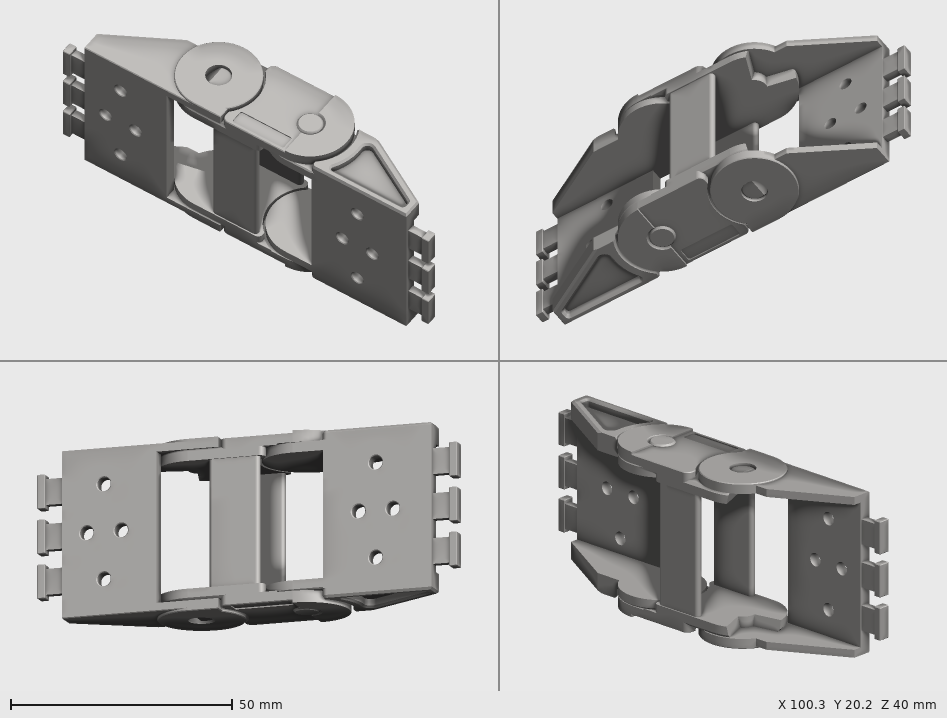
import cadquery as cq
import math

TOTAL_LENGTH = 100.3
DEPTH = 20.2
DISC_RADIUS = DEPTH / 2
PIVOT_Y = DEPTH / 2
LEFT_PIVOT_X = -14.2
RIGHT_PIVOT_X = 10.8

INNER_Z = 14.8
ARM_BEVEL_Z = 17.0
RIGHT_CONTACT_Z = 17.3
LEFT_CONTACT_Z = 17.6
SIDE_Z = 19.5
DISC_TOP_Z = 20.01

PLATE_END_X = 44.1
PLATE_THICKNESS = 3.0
PLATE_TO_PIVOT = 7.3
WALL_END_HEIGHT = 5.0
WALL_HEIGHT = 15.0
WALL_SLOPE_X = 26.3
DISC_CHAMFER = 0.2
EDGE_CHAMFER = 0.2
CHEEK_CHAMFER_Z = 0.6
CHEEK_CHAMFER_XY = 0.4

SCREW_RADIUS = 1.6
SCREW_CHAMFER = 0.2
SCREW_OFFSET = 4.1
SCREW_SPREAD = 11.0
LEFT_SCREWS_X = -34.2
RIGHT_SCREWS_X = 30.7

TAB_PITCH = 10.4
TAB_COUNT = 3
HEAD_LENGTH = 1.9
HEAD_WIDTH = 7.9
HEAD_DEPTH = 2.9
HEAD_CHAMFER = 0.15
NECK_WIDTH = 6.0
NECK_BOTTOM_Y = 0.8
NECK_TOP_Y = 2.7

PIN_RADIUS = 3.06
HOLE_CHAMFER = 0.5
PIN_CHAMFER = 0.4
PIN_RAMP_X = -15.1
PIN_RAMP_ANGLE = 40.0
SOCKET_RADIUS = 10.7
SOCKET_CHAMFER = 0.5

LEFT_HORN_REACH = 7.6
RIGHT_HORN_REACH = 6.9
LEFT_HORN_FILLET = 1.6
RIGHT_HORN_FILLET = 1.2
NOTCH_START_ANGLE = 112.0
NOTCH_END_ANGLE = 192.0
NOTCH_DRAFT = 12.0
BRIDGE_LEFT_X = -9.3
BRIDGE_RIGHT_X = 2.8
BRIDGE_RECESS = 0.3
BRIDGE_THICKNESS = 1.9
BRIDGE_FILLET = 0.93
LABEL_LEFT_X = -4.2
LABEL_RIGHT_X = 9.8
LABEL_BOTTOM_Y = 0.8
LABEL_TOP_Y = 4.4
LABEL_DEPTH = 0.3
LABEL_FILLET = 0.5

POCKET_ARC_RADIUS = 13.4
POCKET_BOTTOM_Y = 1.8
POCKET_END_X = 42.0
POCKET_EDGE_GAP = 2.1
POCKET_DEPTH = 2.0
POCKET_FILLET = 0.6
POCKET_TOP_FILLET = 1.5
POCKET_CHAMFER = 0.5


def box(x0, x1, y0, y1, z0, z1):
    return cq.Workplane("XY").box(x1 - x0, y1 - y0, z1 - z0, centered=False).translate((x0, y0, z0))


def disc(pivot_x, radius, z0, z1):
    return cq.Workplane("XY", origin=(pivot_x, PIVOT_Y, z0)).circle(radius).extrude(z1 - z0)


def prism(points, z0, z1):
    return cq.Workplane("XY", origin=(0, 0, z0)).polyline(points).close().extrude(z1 - z0)


def both_sides(side):
    """The +Z side part together with its mirror image at -Z."""
    return side.union(side.mirror("XY"))


def wall(side, start_x, z0, z1):
    """Side wall with a sloped back edge; side is -1 for the left link and +1 for the right one."""
    points = [
        (start_x, 0),
        (side * PLATE_END_X, 0),
        (side * PLATE_END_X, WALL_END_HEIGHT),
        (side * WALL_SLOPE_X, WALL_HEIGHT),
        (start_x, WALL_HEIGHT),
    ]
    return prism(points, z0, z1)


def plate(edge_x, end_x, half_width):
    return box(min(edge_x, end_x), max(edge_x, end_x), 0, PLATE_THICKNESS, -half_width, half_width)


def screw_holes(center_x):
    places = [
        (center_x - SCREW_OFFSET, 0),
        (center_x + SCREW_OFFSET, 0),
        (center_x, SCREW_SPREAD),
        (center_x, -SCREW_SPREAD),
    ]
    holes = cq.Workplane("XZ").pushPoints(places).circle(SCREW_RADIUS).extrude(-PLATE_THICKNESS)
    mouths = cq.Workplane("XZ").pushPoints(places).circle(SCREW_RADIUS + SCREW_CHAMFER)
    return holes.union(mouths.extrude(-SCREW_CHAMFER, taper=45))


def end_tabs(side):
    """Row of T-shaped tabs at the outer end of a link."""
    outer_x = TOTAL_LENGTH / 2
    head_x = outer_x - HEAD_LENGTH
    head = box(head_x, outer_x, 0, HEAD_DEPTH, -HEAD_WIDTH / 2, HEAD_WIDTH / 2).edges().chamfer(HEAD_CHAMFER)
    neck = box(PLATE_END_X, head_x, NECK_BOTTOM_Y, NECK_TOP_Y, -NECK_WIDTH / 2, NECK_WIDTH / 2)
    tab = head.union(neck)
    if side < 0:
        tab = tab.mirror("YZ")
    tabs = cq.Workplane("XY")
    for i in range(TAB_COUNT):
        tabs = tabs.add(tab.translate((0, 0, (i - (TAB_COUNT - 1) / 2) * TAB_PITCH)))
    return tabs.combine()


def make_left_link():
    plate_edge_x = LEFT_PIVOT_X - PLATE_TO_PIVOT
    toe_x = LEFT_PIVOT_X + PLATE_TO_PIVOT
    side_wall = wall(-1, LEFT_PIVOT_X, LEFT_CONTACT_Z, SIDE_Z)
    side_wall = side_wall.faces(">Z").edges("<Y").chamfer(EDGE_CHAMFER)
    knuckle = disc(LEFT_PIVOT_X, DISC_RADIUS, LEFT_CONTACT_Z, DISC_TOP_Z)
    knuckle = knuckle.union(box(LEFT_PIVOT_X, toe_x, 0, PLATE_THICKNESS, LEFT_CONTACT_Z, DISC_TOP_Z))
    knuckle = knuckle.faces(">Z").edges().chamfer(DISC_CHAMFER)
    arm = side_wall.union(knuckle).cut(disc(LEFT_PIVOT_X, PIN_RADIUS, LEFT_CONTACT_Z, DISC_TOP_Z))
    base = plate(plate_edge_x, -PLATE_END_X, SIDE_Z - EDGE_CHAMFER)
    link = both_sides(arm).union(base)
    return link.cut(screw_holes(LEFT_SCREWS_X)).union(end_tabs(-1))


def side_pocket():
    """Recess following the socket, the front face and the sloped edge of the wall."""
    slope = (WALL_HEIGHT - WALL_END_HEIGHT) / (PLATE_END_X - WALL_SLOPE_X)
    drop = POCKET_EDGE_GAP * math.hypot(1, slope)

    def edge_y(x):
        return WALL_HEIGHT - drop - slope * (x - WALL_SLOPE_X)

    def arc_point(angle):
        return (
            RIGHT_PIVOT_X + POCKET_ARC_RADIUS * math.cos(angle),
            PIVOT_Y + POCKET_ARC_RADIUS * math.sin(angle),
        )

    pivot_to_edge = (edge_y(RIGHT_PIVOT_X) - PIVOT_Y) / math.hypot(1, slope)
    top_angle = math.atan2(1, slope) - math.acos(pivot_to_edge / POCKET_ARC_RADIUS)
    bottom_angle = math.asin((POCKET_BOTTOM_Y - PIVOT_Y) / POCKET_ARC_RADIUS)
    pocket = (
        cq.Workplane("XY", origin=(0, 0, SIDE_Z - POCKET_DEPTH))
        .moveTo(*arc_point(bottom_angle))
        .lineTo(POCKET_END_X, POCKET_BOTTOM_Y)
        .lineTo(POCKET_END_X, edge_y(POCKET_END_X))
        .lineTo(*arc_point(top_angle))
        .threePointArc(arc_point((top_angle + bottom_angle) / 2), arc_point(bottom_angle))
        .close()
        .extrude(POCKET_DEPTH)
    )
    pocket = pocket.edges("|Z and >Y").fillet(POCKET_TOP_FILLET)
    pocket = pocket.edges("|Z and (<Y or >X)").fillet(POCKET_FILLET)
    rim = pocket.faces(">Z").wires().toPending().workplane().offset2D(POCKET_CHAMFER)
    return pocket.union(rim.extrude(-POCKET_CHAMFER, taper=45))


def cheek():
    """Outer layer of the right link's side: rounded tip, socket, bevelled rim and pocket."""
    body = wall(1, RIGHT_PIVOT_X + RIGHT_HORN_REACH, ARM_BEVEL_Z, SIDE_Z)
    body = body.edges("|Z and <X and <Y").fillet(RIGHT_HORN_FILLET)
    top = body.faces(">Z")
    rim = top.edges("<Y").add(top.edges(">X")).add(top.edges("not(|X or |Y or %CIRCLE)"))
    body = rim.chamfer(CHEEK_CHAMFER_Z, CHEEK_CHAMFER_XY)
    socket = disc(RIGHT_PIVOT_X, SOCKET_RADIUS, ARM_BEVEL_Z, SIDE_Z)
    mouth = cq.Workplane("XY", origin=(RIGHT_PIVOT_X, PIVOT_Y, SIDE_Z))
    mouth = mouth.circle(SOCKET_RADIUS + SOCKET_CHAMFER).extrude(-SOCKET_CHAMFER, taper=45)
    return body.cut(socket).cut(mouth).cut(side_pocket())


def make_right_link():
    plate_edge_x = RIGHT_PIVOT_X + PLATE_TO_PIVOT
    arm = wall(1, RIGHT_PIVOT_X, INNER_Z, RIGHT_CONTACT_Z)
    arm = arm.union(disc(RIGHT_PIVOT_X, DISC_RADIUS, INNER_Z, RIGHT_CONTACT_Z))
    arm = arm.faces(">Z").chamfer(RIGHT_CONTACT_Z - ARM_BEVEL_Z)
    pin = disc(RIGHT_PIVOT_X, PIN_RADIUS, INNER_Z, DISC_TOP_Z).faces(">Z").chamfer(PIN_CHAMFER)
    side = arm.union(cheek()).union(pin)
    link = both_sides(side).union(plate(plate_edge_x, PLATE_END_X, RIGHT_CONTACT_Z))
    return link.cut(screw_holes(RIGHT_SCREWS_X)).union(end_tabs(1))


def notch():
    """Sector missing from the left inner disc, widening towards the inner face."""
    reach = 2 * DISC_RADIUS

    def ray(angle):
        turn = math.radians(angle)
        return (LEFT_PIVOT_X + reach * math.cos(turn), PIVOT_Y + reach * math.sin(turn))

    middle_angle = (NOTCH_START_ANGLE + NOTCH_END_ANGLE) / 2
    points = [(LEFT_PIVOT_X, PIVOT_Y), ray(NOTCH_START_ANGLE), ray(middle_angle), ray(NOTCH_END_ANGLE)]
    sector = cq.Workplane("XY", origin=(0, 0, INNER_Z)).polyline(points).close()
    return sector.extrude(LEFT_CONTACT_Z - INNER_Z, taper=NOTCH_DRAFT)


def ramped_pin():
    """Left pin, from the inner arm to the side face, with a lead-in ramp on its -X side."""
    pin = disc(LEFT_PIVOT_X, PIN_RADIUS, INNER_Z, SIDE_Z).faces(">Z").chamfer(PIN_CHAMFER)
    run = LEFT_PIVOT_X - PIN_RADIUS - PIN_RAMP_X
    fall = run * math.tan(math.radians(PIN_RAMP_ANGLE))
    ramp = (
        cq.Workplane("XZ")
        .polyline([(PIN_RAMP_X, SIDE_Z), (PIN_RAMP_X + run, SIDE_Z), (PIN_RAMP_X + run, SIDE_Z + fall)])
        .close()
        .extrude(-DEPTH)
    )
    return pin.cut(ramp)


def bridge(y0):
    """Crossbar with rounded long edges."""
    bar = box(BRIDGE_LEFT_X, BRIDGE_RIGHT_X, y0, y0 + BRIDGE_THICKNESS, -INNER_Z, INNER_Z)
    return bar.edges("|Z").fillet(BRIDGE_FILLET)


def inner_layer():
    """Disc at the left pivot and horns around the right link's disc."""
    layer = box(LEFT_PIVOT_X, RIGHT_PIVOT_X - RIGHT_HORN_REACH, 0, DEPTH, INNER_Z, LEFT_CONTACT_Z)
    layer = layer.edges("|Z and >X").fillet(RIGHT_HORN_FILLET)
    layer = layer.union(disc(LEFT_PIVOT_X, DISC_RADIUS, INNER_Z, LEFT_CONTACT_Z))
    layer = layer.faces(">Z").chamfer(LEFT_CONTACT_Z - ARM_BEVEL_Z)
    return layer.cut(notch())


def outer_layer():
    """Horns around the left link's disc and a disc, raised on its outer half, at the right pivot."""
    horn_x = LEFT_PIVOT_X + LEFT_HORN_REACH
    layer = box(horn_x, RIGHT_PIVOT_X, 0, DEPTH, ARM_BEVEL_Z, SIDE_Z)
    layer = layer.edges("|Z and <X").fillet(LEFT_HORN_FILLET)
    layer = layer.faces(">Z").edges("|X").chamfer(EDGE_CHAMFER)
    layer = layer.cut(disc(LEFT_PIVOT_X, SOCKET_RADIUS, ARM_BEVEL_Z, SIDE_Z))

    disc_end_x = RIGHT_PIVOT_X + DISC_RADIUS
    outer_half = box(RIGHT_PIVOT_X, disc_end_x, 0, DEPTH, RIGHT_CONTACT_Z, DISC_TOP_Z)
    layer = layer.union(disc(RIGHT_PIVOT_X, DISC_RADIUS, RIGHT_CONTACT_Z, DISC_TOP_Z).intersect(outer_half))

    label = box(LABEL_LEFT_X, LABEL_RIGHT_X, LABEL_BOTTOM_Y, LABEL_TOP_Y, SIDE_Z - LABEL_DEPTH, SIDE_Z)
    layer = layer.cut(label.edges("|Z").fillet(LABEL_FILLET))

    hole = disc(RIGHT_PIVOT_X, PIN_RADIUS, RIGHT_CONTACT_Z, DISC_TOP_Z)
    mouth = cq.Workplane("XY", origin=(RIGHT_PIVOT_X, PIVOT_Y, DISC_TOP_Z))
    mouth = mouth.circle(PIN_RADIUS + HOLE_CHAMFER).extrude(-HOLE_CHAMFER, taper=45)
    return layer.cut(hole).cut(mouth)


def make_middle_link():
    right_socket = disc(RIGHT_PIVOT_X, SOCKET_RADIUS, INNER_Z, RIGHT_CONTACT_Z)
    side = inner_layer().union(outer_layer()).cut(right_socket).union(ramped_pin())
    front_bridge = bridge(BRIDGE_RECESS)
    back_bridge = bridge(DEPTH - BRIDGE_RECESS - BRIDGE_THICKNESS)
    return both_sides(side).union(front_bridge).union(back_bridge)


left_link = make_left_link()
middle_link = make_middle_link()
right_link = make_right_link()

result = cq.Compound.makeCompound([left_link.val(), middle_link.val(), right_link.val()])